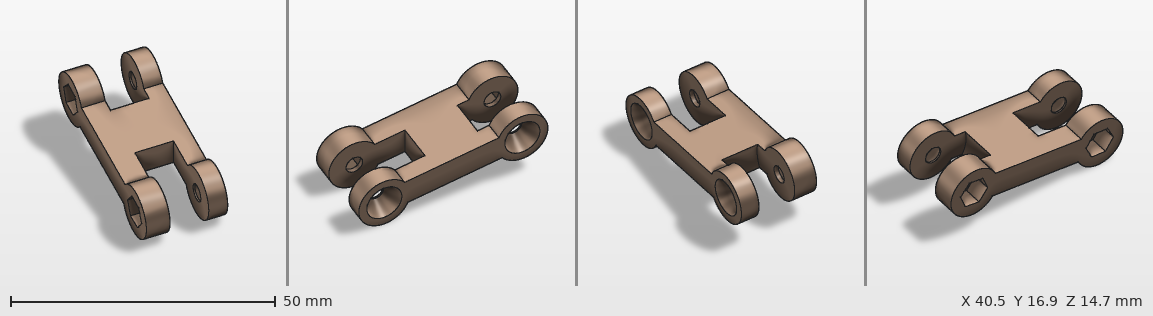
import cadquery as cq
import math

overall_length = 40.55
overall_height = 14.7
eye_radius = 5.48
web_thickness = 5.5
front_arm_width = 4.9
slot_width = 8.0
back_arm_width = 3.95
bore_diameter = 3.55
nut_corner_diameter = 6.5
nut_pocket_depth = 3.95
bore_land_length = 0.35
flare_diameter = 7.5
left_nut_angle = -9.5
right_nut_angle = -5.4
left_slot_radius = 7.75
right_slot_wall_x = 3.98

overall_width = front_arm_width + slot_width + back_arm_width
front_y = -overall_width / 2
slot_front_y = front_y + front_arm_width
slot_back_y = slot_front_y + slot_width
flare_length = back_arm_width - bore_land_length
pivot_x = overall_length / 2 - eye_radius
pivot_z = overall_height / 2 - eye_radius
link_angle = math.degrees(math.atan2(-pivot_z, pivot_x))
pivot_distance = 2 * math.hypot(pivot_x, pivot_z)
left_pivot = (-pivot_x, pivot_z)
right_pivot = (pivot_x, -pivot_z)


def section_at(y):
    """Sketch plane seen from the front, with extrusion towards +Y."""
    return cq.Workplane("XZ", origin=(0, y, 0))


def cylinder(pivot, radius, y, length):
    return section_at(y).center(*pivot).circle(radius).extrude(-length)


def nut_pocket(pivot, angle):
    hexagon = section_at(front_y).center(*pivot)
    hexagon = hexagon.transformed(rotate=(0, 0, angle))
    return hexagon.polygon(6, nut_corner_diameter).extrude(-nut_pocket_depth)


def back_flare(pivot):
    """Cone that widens from the bore to the back face."""
    bore_end = section_at(slot_back_y + bore_land_length).center(*pivot).circle(bore_diameter / 2)
    return bore_end.workplane(offset=-flare_length).circle(flare_diameter / 2).loft()


web = (
    section_at(front_y)
    .transformed(rotate=(0, 0, link_angle))
    .rect(pivot_distance, web_thickness)
    .extrude(-overall_width)
)
result = web
for pivot in (left_pivot, right_pivot):
    result = result.union(cylinder(pivot, eye_radius, front_y, overall_width))

left_slot = cylinder(left_pivot, left_slot_radius, slot_front_y, slot_width)
right_slot_length = overall_length / 2 - right_slot_wall_x
right_slot = cq.Workplane("XY").box(
    right_slot_length, slot_width, overall_height, centered=(False, False, True)
).translate((right_slot_wall_x, slot_front_y, 0))
result = result.cut(left_slot).cut(right_slot)

for pivot, nut_angle in ((left_pivot, left_nut_angle), (right_pivot, right_nut_angle)):
    result = result.cut(cylinder(pivot, bore_diameter / 2, front_y, overall_width))
    result = result.cut(nut_pocket(pivot, nut_angle))
    result = result.cut(back_flare(pivot))